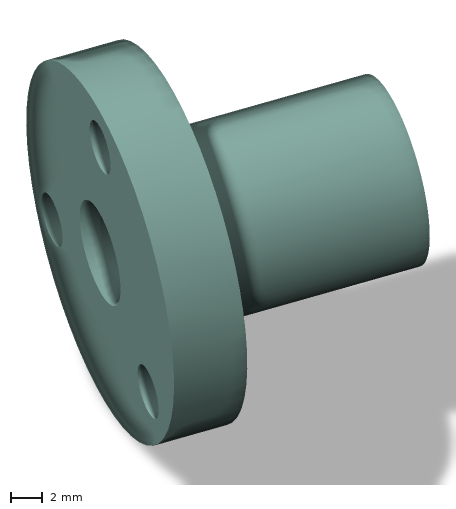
import cadquery as cq
import math

flange_diameter = 25.4
barrel_diameter = flange_diameter / 2
total_length = 20.0
flange_thickness = 5.0

bore_diameter = 5.0
countersink_diameter = 7.0
countersink_depth = (countersink_diameter - bore_diameter) / 2

hole_count = 3
hole_diameter = 3.6
hole_circle_radius = 9.52
first_hole_angle = 90.0

AXIS = cq.Vector(0, 1, 0)


def rod(diameter, length, x=0.0, z=0.0):
    """Cylinder along +Y that starts on the flange face at y = 0."""
    return cq.Workplane(cq.Solid.makeCylinder(diameter / 2, length, cq.Vector(x, 0, z), AXIS))


def countersink():
    """Cone that narrows from the flange face down to the bore."""
    cone = cq.Solid.makeCone(
        countersink_diameter / 2, bore_diameter / 2, countersink_depth, cq.Vector(0, 0, 0), AXIS
    )
    return cq.Workplane(cone)


body = rod(flange_diameter, flange_thickness).union(rod(barrel_diameter, total_length))
body = body.cut(rod(bore_diameter, total_length)).cut(countersink())

for index in range(hole_count):
    angle = math.radians(first_hole_angle + index * 360.0 / hole_count)
    hole_x = hole_circle_radius * math.cos(angle)
    hole_z = hole_circle_radius * math.sin(angle)
    body = body.cut(rod(hole_diameter, flange_thickness, hole_x, hole_z))

result = body